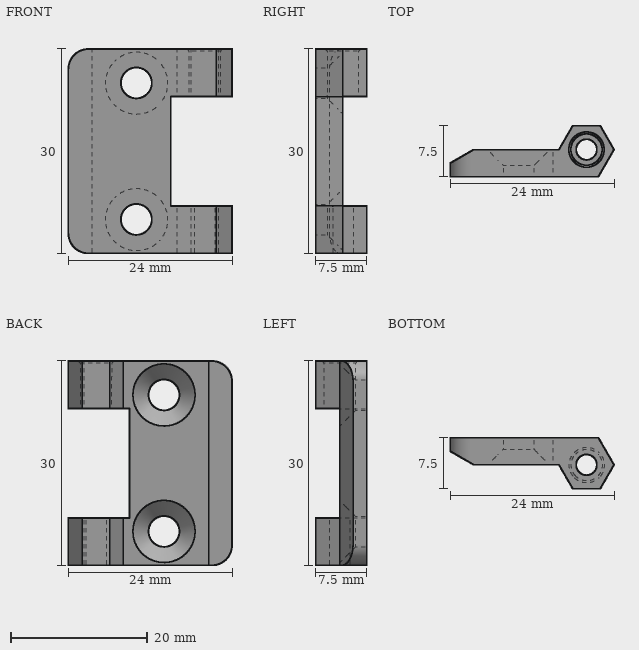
import cadquery as cq
import math

height = 30.0
plate_thickness = 4.0
corner_radius = 3.0
edge_thickness = 2.0
taper_angle = 30.0

depth = 7.5
knuckle_x = 19.98
knuckle_apothem = depth - plate_thickness
knuckle_radius = knuckle_apothem / math.cos(math.radians(30))
knuckle_height = 7.0
notch_x = 15.05

pin_diameter = 3.0
upper_bore_diameter = 4.6
upper_bore_chamfer = 0.3

screw_x = 10.0
screw_spacing = 20.0
screw_diameter = 4.5
screw_straight_depth = 1.68
countersink_angle = 90.0


def make_plate():
    """Plate with a tapered free edge, sloping ends under the knuckles and rounded corners."""
    taper_length = (plate_thickness - edge_thickness) / math.tan(math.radians(taper_angle))
    tip_x = knuckle_x + knuckle_radius
    front_end_x = tip_x - plate_thickness * math.tan(math.radians(30))
    profile = [
        (0, 0),
        (front_end_x, 0),
        (tip_x, plate_thickness),
        (taper_length, plate_thickness),
        (0, edge_thickness),
    ]
    plate = cq.Workplane("XY").polyline(profile).close().extrude(height)
    rounded_blank = (
        cq.Workplane("XY")
        .box(tip_x, depth, height, centered=False)
        .edges("|Y and <X")
        .fillet(corner_radius)
    )
    return plate.intersect(rounded_blank)


def make_knuckle_bar():
    """Full-height hexagonal bar with corners pointing along X."""
    return (
        cq.Workplane("XY")
        .center(knuckle_x, plate_thickness)
        .polygon(6, 2 * knuckle_radius)
        .extrude(height)
    )


def make_notch():
    """Opening that separates the two knuckles."""
    return cq.Workplane("XY").box(
        height, depth, height - 2 * knuckle_height, centered=False
    ).translate((notch_x, 0, knuckle_height))


def make_pin_bores():
    """Narrow lower bore and wide upper bore with a chamfered mouth."""
    lower = (
        cq.Workplane("XY")
        .center(knuckle_x, plate_thickness)
        .circle(pin_diameter / 2)
        .extrude(height)
    )
    upper = (
        cq.Workplane("XY", origin=(knuckle_x, plate_thickness, height - knuckle_height))
        .circle(upper_bore_diameter / 2)
        .extrude(knuckle_height)
    )
    mouth_radius = upper_bore_diameter / 2 + upper_bore_chamfer
    mouth = cq.Workplane(
        cq.Solid.makeCone(
            mouth_radius,
            upper_bore_diameter / 2,
            upper_bore_chamfer,
            pnt=cq.Vector(knuckle_x, plate_thickness, height),
            dir=cq.Vector(0, 0, -1),
        )
    )
    return lower.union(upper).union(mouth)


def make_screw_hole(z):
    """Straight hole from the front that flares into a countersink at the back face."""
    radius = screw_diameter / 2
    sink_depth = plate_thickness - screw_straight_depth
    sink_radius = radius + sink_depth * math.tan(math.radians(countersink_angle / 2))
    profile = [
        (0, 0),
        (radius, 0),
        (radius, screw_straight_depth),
        (sink_radius, plate_thickness),
        (0, plate_thickness),
    ]
    hole = cq.Workplane("XY").polyline(profile).close().revolve(360, (0, 0), (0, 1))
    return hole.translate((screw_x, 0, z))


result = make_plate().union(make_knuckle_bar())
result = result.cut(make_notch()).cut(make_pin_bores())
for side in (-1, 1):
    result = result.cut(make_screw_hole(height / 2 + side * screw_spacing / 2))